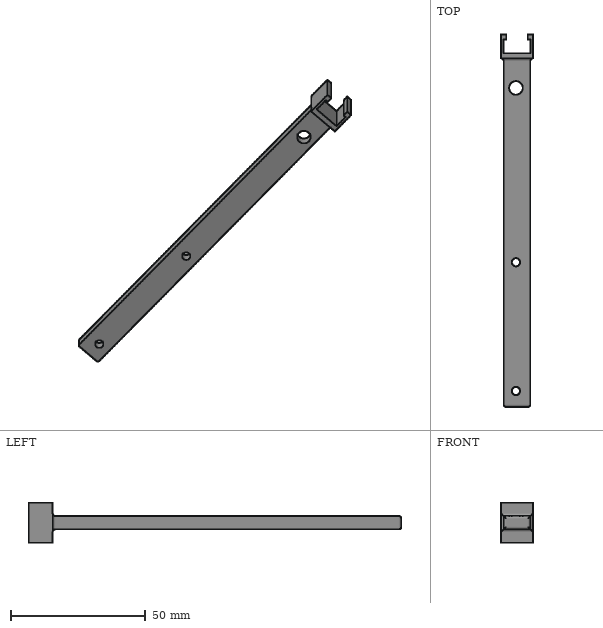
import cadquery as cq
import math

ARM_LENGTH = 130.0
ARM_WIDTH = 10.0
ARM_THICKNESS = 5.0
ROUND_RADIUS = 1.0

HEAD_WIDTH = 12.0
HEAD_DEPTH = 9.0
HEAD_HEIGHT = 15.0
WEB_THICKNESS = 2.0
WALL_THICKNESS = 1.0
LIP_REACH = 1.0
LIP_DEPTH = 2.0

HOLE_OFFSET = -0.4

HOLES = [
    (6.0, 3.0),
    (54.0, 3.0),
    (119.0, 5.0),
]


def arm_profile(plane, across_size):
    """Sketch the arm outline: rounded free end, flared by a fillet at the head.

    The plane's local x runs across the arm and its local y runs along it.
    """
    half = across_size / 2
    r = ROUND_RADIUS
    near = r * (1 - math.sqrt(0.5))
    return (
        cq.Workplane(plane)
        .moveTo(-half + r, 0)
        .lineTo(half - r, 0)
        .threePointArc((half - near, near), (half, r))
        .lineTo(half, ARM_LENGTH - r)
        .threePointArc((half + near, ARM_LENGTH - near), (half + r, ARM_LENGTH))
        .lineTo(-half - r, ARM_LENGTH)
        .threePointArc((-half - near, ARM_LENGTH - near), (-half, ARM_LENGTH - r))
        .lineTo(-half, r)
        .threePointArc((-half + near, near), (-half + r, 0))
        .close()
    )


def make_arm():
    """Intersect the plan and side outlines, so that the rounds meet in mitres."""
    plan = arm_profile(cq.Plane.XY(), ARM_WIDTH)
    side_plane = cq.Plane(origin=(0, 0, 0), xDir=(0, 0, 1), normal=(-1, 0, 0))
    side = arm_profile(side_plane, ARM_THICKNESS)
    plan_body = plan.extrude(HEAD_HEIGHT / 2, both=True)
    side_body = side.extrude(HEAD_WIDTH, both=True)
    return plan_body.intersect(side_body)


def box_along_y(width, y_start, y_end):
    """Box of full head height, centred on X and Z, between two Y positions."""
    length = y_end - y_start
    return cq.Workplane("XY").box(width, length, HEAD_HEIGHT).translate((0, y_start + length / 2, 0))


def make_head():
    head_end = ARM_LENGTH + HEAD_DEPTH
    channel_start = ARM_LENGTH + WEB_THICKNESS
    channel_width = HEAD_WIDTH - 2 * WALL_THICKNESS
    mouth_width = channel_width - 2 * LIP_REACH
    block = box_along_y(HEAD_WIDTH, ARM_LENGTH, head_end)
    channel = box_along_y(channel_width, channel_start, head_end - LIP_DEPTH)
    mouth = box_along_y(mouth_width, channel_start, head_end)
    return block.cut(channel).cut(mouth)


def make_hole(distance, diameter):
    return (
        cq.Workplane("XY")
        .center(HOLE_OFFSET, distance)
        .circle(diameter / 2)
        .extrude(ARM_THICKNESS, both=True)
    )


part = make_arm().union(make_head())
for hole_distance, hole_diameter in HOLES:
    part = part.cut(make_hole(hole_distance, hole_diameter))

result = part.translate((0, -(ARM_LENGTH + HEAD_DEPTH) / 2, 0))